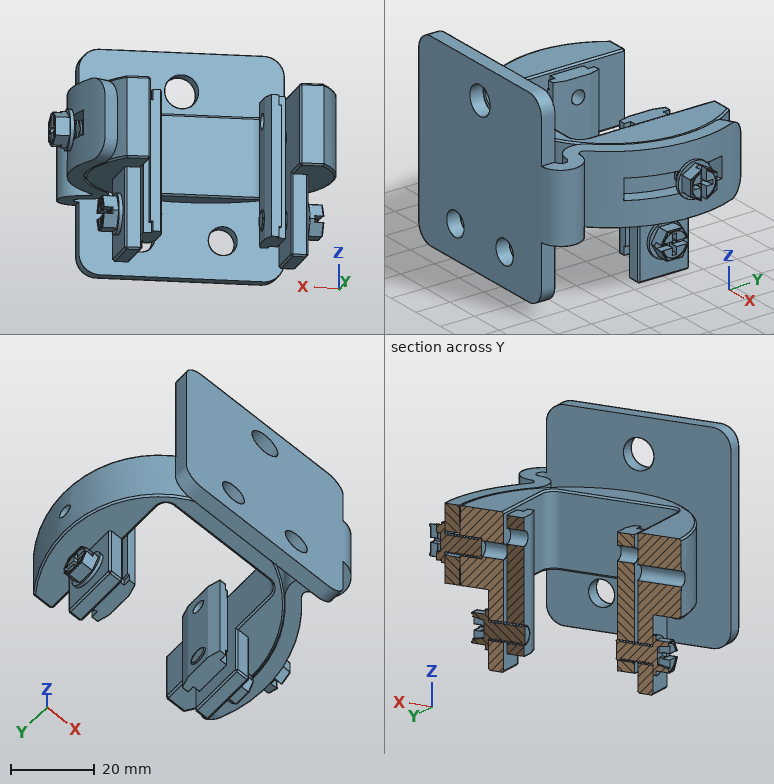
import math

import cadquery as cq

ring_radius = 30.0
ring_height = 20.0
ring_end_y = 18.0
opening_half_width = 18.1
opening_floor_y = -22.5
opening_corner_radius = 3.0
edge_chamfer = 0.5

tab_thickness = 4.2
tab_width = 15.1
tab_bottom_z = -30.0
tab_screw_z = -20.0
tab_outer_x = opening_half_width + tab_thickness

thread_diameter = 5.0
thread_depth = 0.5
thread_pitch = 0.8
thread_turns = 11
shank_length = 10.0
tip_chamfer = 0.3
flange_diameter = 10.0
flange_thickness = 0.9
hex_across_flats = 7.75
head_height = 4.5
head_edge_chamfer = 0.2
dish_diameter = 7.0
dish_depth = 0.3
drive_slot_width = 1.6
drive_slot_depth = 2.25
cross_width = 1.25
cross_top_length = 5.6
cross_bottom_length = 4.4
cross_depth = 3.3

tap_diameter = 3.85

plate_width = 50.0
plate_height = 55.0
bracket_thickness = 4.0
corner_radius = 5.0
plate_front_y = -38.0
top_hole_diameter = 8.25
lower_hole_diameter = 7.0
hole_offset_z = 18.0
lower_hole_offset_x = 10.0
strap_gap = 0.15
strap_inner_radius = ring_radius + strap_gap
strap_outer_radius = strap_inner_radius + bracket_thickness
strap_end_angle = 31
strap_bend_angle = -45
first_bend_inner_radius = 1.5
strap_slot_height = 5.9
strap_slot_half_angle = 23

nut_length = 34.5
nut_hole_spacing = 24.0
nut_back_x = 17.3
nut_shoulder_x = 15.9
nut_end_shoulder_x = 15.4
nut_flange_edge_x = 13.5
nut_front_x = 12.6
nut_block_half_width = 4.9
nut_flange_half_width = 6.7
nut_front_half_width = 3.6
nut_shoulder_step_length = 2.5
nut_center_z = tab_screw_z + nut_hole_spacing / 2


def polar(radius, degrees):
    """Point in the XY plane at a radius and an angle from +X."""
    angle = math.radians(degrees)
    return (radius * math.cos(angle), radius * math.sin(angle))


def rod_x(diameter, x_start, x_end, z=0.0):
    """Cylinder along X between two X positions, at y = 0 and height z."""
    return (
        cq.Workplane("YZ", origin=(x_start, 0, z))
        .circle(diameter / 2)
        .extrude(x_end - x_start)
    )


def make_tab():
    """Tab below the +X arm, flush with the wall of the opening."""
    tab_top_z = edge_chamfer - ring_height / 2
    return (
        cq.Workplane("XY", origin=(opening_half_width + tab_thickness / 2, 0, tab_bottom_z))
        .rect(tab_thickness, tab_width)
        .extrude(tab_top_z - tab_bottom_z)
        .edges("|Z or <Z")
        .chamfer(edge_chamfer)
        .cut(rod_x(thread_diameter, opening_half_width, tab_outer_x, tab_screw_z))
    )


def make_ring():
    opening_depth = ring_end_y - opening_floor_y
    opening = (
        cq.Workplane("XY", origin=(0, opening_floor_y + opening_depth / 2, 0))
        .rect(2 * opening_half_width, opening_depth)
        .extrude(ring_height / 2, both=True)
        .edges("|Z and <Y")
        .fillet(opening_corner_radius)
    )
    kept_side = (
        cq.Workplane("XY", origin=(0, ring_end_y - ring_radius, 0))
        .rect(2 * ring_radius, 2 * ring_radius)
        .extrude(ring_height / 2, both=True)
    )
    ring = cq.Workplane("XY").circle(ring_radius).extrude(ring_height / 2, both=True)
    ring = ring.intersect(kept_side).cut(opening)

    arm_tips = cq.selectors.BoxSelector(
        (-opening_half_width - edge_chamfer, ring_end_y - edge_chamfer, -ring_height),
        (opening_half_width + edge_chamfer, ring_end_y + edge_chamfer, ring_height),
    )
    ring = ring.edges("|Z").edges(arm_tips).chamfer(edge_chamfer)
    ring = ring.faces("<Z or >Z").edges().chamfer(edge_chamfer)

    tab = make_tab()
    ring = ring.union(tab).union(tab.mirror("YZ"))

    ring = ring.cut(rod_x(tap_diameter, -ring_radius, ring_radius))
    screw_tip_x = strap_outer_radius - shank_length
    return ring.cut(rod_x(thread_diameter, screw_tip_x, ring_radius))


def make_plate():
    return (
        cq.Workplane("XZ", origin=(0, plate_front_y, 0))
        .rect(plate_width, plate_height)
        .extrude(-bracket_thickness)
        .edges("|Y")
        .fillet(corner_radius)
    )


def make_strap():
    """Strap from the plate edge through an S-bend and around the ring."""
    bend_x, bend_y = polar(strap_outer_radius + first_bend_inner_radius, strap_bend_angle)
    first_bend_outer_radius = first_bend_inner_radius + bracket_thickness

    turn_x = plate_width / 2
    offset = turn_x - bend_x
    rise = bend_y - plate_front_y
    turn_outer_radius = (offset**2 + rise**2 - first_bend_inner_radius**2) / (
        2 * (rise + first_bend_inner_radius)
    )
    turn_inner_radius = turn_outer_radius - bracket_thickness
    turn_y = plate_front_y + turn_outer_radius

    bend_start = 180 + strap_bend_angle
    bend_end = 360 + math.degrees(math.atan2(turn_y - bend_y, offset))
    bend_middle = (bend_start + bend_end) / 2
    arc_middle = (strap_bend_angle + strap_end_angle) / 2
    root_x = plate_width / 2 - corner_radius
    plate_back_y = plate_front_y + bracket_thickness

    def on_first_bend(radius, degrees):
        dx, dy = polar(radius, degrees)
        return (bend_x + dx, bend_y + dy)

    strap = (
        cq.Workplane("XY")
        .moveTo(root_x, plate_front_y)
        .lineTo(turn_x, plate_front_y)
        .threePointArc(
            (turn_x + turn_outer_radius, turn_y),
            on_first_bend(first_bend_inner_radius, bend_end),
        )
        .threePointArc(
            on_first_bend(first_bend_inner_radius, bend_middle),
            on_first_bend(first_bend_inner_radius, bend_start),
        )
        .threePointArc(
            polar(strap_outer_radius, arc_middle),
            polar(strap_outer_radius, strap_end_angle),
        )
        .lineTo(*polar(strap_inner_radius, strap_end_angle))
        .threePointArc(
            polar(strap_inner_radius, arc_middle),
            polar(strap_inner_radius, strap_bend_angle),
        )
        .threePointArc(
            on_first_bend(first_bend_outer_radius, bend_middle),
            on_first_bend(first_bend_outer_radius, bend_end),
        )
        .threePointArc((turn_x + turn_inner_radius, turn_y), (turn_x, plate_back_y))
        .lineTo(root_x, plate_back_y)
        .close()
        .extrude(ring_height / 2, both=True)
    )
    free_end = strap.faces(cq.selectors.NearestToPointSelector(
        (*polar(strap_inner_radius + bracket_thickness / 2, strap_end_angle), 0)
    ))
    return free_end.edges("<Z or >Z").fillet(corner_radius)


def make_strap_slot():
    """Adjusting slot: a wedge from the ring axis, centred on the arc of the strap."""
    middle = (strap_bend_angle + strap_end_angle) / 2
    reach = 2 * strap_outer_radius
    return (
        cq.Workplane("XY")
        .lineTo(*polar(reach, middle - strap_slot_half_angle))
        .lineTo(*polar(reach, middle + strap_slot_half_angle))
        .close()
        .extrude(strap_slot_height / 2, both=True)
    )


def make_bracket():
    hole_plane = cq.Workplane("XZ", origin=(0, plate_front_y, 0))
    top_hole = (
        hole_plane.center(0, hole_offset_z)
        .circle(top_hole_diameter / 2)
        .extrude(-bracket_thickness)
    )
    lower_holes = (
        hole_plane.pushPoints([(side * lower_hole_offset_x, -hole_offset_z) for side in (-1, 1)])
        .circle(lower_hole_diameter / 2)
        .extrude(-bracket_thickness)
    )
    strap = make_strap().cut(make_strap_slot())
    return make_plate().cut(top_hole).cut(lower_holes).union(strap)


def make_nut():
    """Nut on the +X side, holding the tip of a tab screw in its lower hole."""

    def block(half_length, shoulder_x):
        """Bar with the nut's cross-section, its flange starting at shoulder_x."""
        half_profile = [
            (nut_back_x, nut_block_half_width),
            (shoulder_x, nut_block_half_width),
            (shoulder_x, nut_flange_half_width),
            (nut_flange_edge_x, nut_flange_half_width),
            (nut_front_x, nut_front_half_width),
        ]
        other_half = [(x, -y) for x, y in reversed(half_profile)]
        return (
            cq.Workplane("XY", origin=(0, 0, nut_center_z))
            .polyline(half_profile + other_half)
            .close()
            .extrude(half_length, both=True)
        )

    half_length = nut_length / 2
    nut = block(half_length, nut_end_shoulder_x)
    nut = nut.union(block(half_length - nut_shoulder_step_length, nut_shoulder_x))

    free_hole_z = tab_screw_z + nut_hole_spacing
    nut = nut.cut(rod_x(tap_diameter, nut_front_x, nut_back_x, free_hole_z))
    return nut.cut(rod_x(thread_diameter, nut_front_x, nut_back_x, tab_screw_z))


def make_shank():
    """Threaded shank from x = 0 toward -X; the thread is a row of V grooves."""
    radius = thread_diameter / 2
    root_radius = radius - thread_depth
    profile = [(0, 0), (0, radius)]
    for turn in range(thread_turns):
        crest_x = -turn * thread_pitch
        profile.append((crest_x - thread_pitch / 2, root_radius))
        profile.append((crest_x - thread_pitch, radius))
    profile.append((tip_chamfer - shank_length, radius))
    profile.append((-shank_length, radius - tip_chamfer))
    profile.append((-shank_length, 0))
    return cq.Workplane("XY").polyline(profile).close().revolve(360, (0, 0, 0), (1, 0, 0))


def make_screw():
    """Screw along X with the underside of its flange at x = 0 and its drive slot along Y."""
    hex_across_corners = hex_across_flats / math.cos(math.radians(30))
    hexagon = (
        cq.Workplane("YZ")
        .polygon(6, hex_across_corners)
        .extrude(head_height)
        .faces(">X")
        .chamfer(head_edge_chamfer)
    )
    dish = rod_x(dish_diameter, head_height - dish_depth, head_height)
    slot = cq.Workplane("XY").box(
        drive_slot_depth, hex_across_corners, drive_slot_width, centered=(False, True, True)
    ).translate((head_height - drive_slot_depth, 0, 0))
    cross_arm = (
        cq.Workplane("XY")
        .polyline([
            (head_height, -cross_top_length / 2),
            (head_height, cross_top_length / 2),
            (head_height - cross_depth, cross_bottom_length / 2),
            (head_height - cross_depth, -cross_bottom_length / 2),
        ])
        .close()
        .extrude(cross_width / 2, both=True)
    )
    screw = make_shank().union(rod_x(flange_diameter, 0, flange_thickness)).union(hexagon)
    screw = screw.cut(dish).cut(slot).cut(cross_arm)
    return screw.cut(cross_arm.rotate((0, 0, 0), (1, 0, 0), 90))


ring = make_ring()
bracket = make_bracket()

nut = make_nut()
nuts = [nut, nut.mirror("YZ")]

screw = make_screw()
bracket_screw = screw.rotate((0, 0, 0), (1, 0, 0), 90).translate((strap_outer_radius, 0, 0))
screws = [bracket_screw]
for turn_angle in (0, 180):
    tab_screw = screw.translate((tab_outer_x, 0, tab_screw_z))
    screws.append(tab_screw.rotate((0, 0, 0), (0, 0, 1), turn_angle))

result = cq.Compound.makeCompound(
    [ring.val(), bracket.val()] + [body.val() for body in nuts + screws]
)